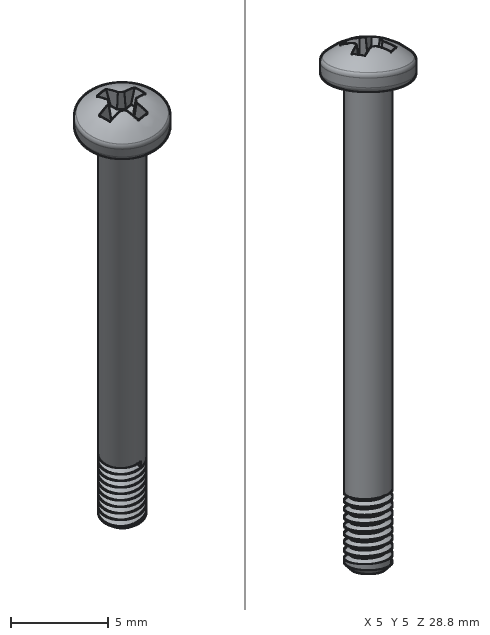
import cadquery as cq
import math


LENGTH = 28.83
SHANK_RADIUS = 2.5 / 2

HEAD_RADIUS = 5.0 / 2
HEAD_HEIGHT = 1.95
HEAD_BOTTOM = LENGTH - HEAD_HEIGHT
UNDERSIDE_FILLET = 0.35
SHOULDER_HEIGHT = 0.25
SHOULDER_INSET = 0.12
DOME_HEIGHT = 0.9
APEX_HEIGHT = 0.072
DOME_BASE = LENGTH + APEX_HEIGHT - DOME_HEIGHT

RECESS_DEPTH = 1.15
MOUTH_REACH = 1.55
FLOOR_REACH = 1.0
MOUTH_ARM_WIDTH = 0.8
FLOOR_ARM_WIDTH = 0.52
MOUTH_CORNER_CHAMFER = 0.23
FLOOR_CORNER_CHAMFER = 0.32

TURNS = 8.5
THREAD_START = 0.52
THREAD_RISE = 3.83
PITCH = THREAD_RISE / TURNS
ROOT_RADIUS = 0.92
CREST_FLAT = PITCH / 10
ROOT_FLAT = PITCH / 8
GROOVE_OVERCUT = 0.03
TIP_CHAMFER = 0.35


def make_head():
    rim_top = DOME_BASE - SHOULDER_HEIGHT
    dome_radius = HEAD_RADIUS - SHOULDER_INSET
    sphere_radius = (dome_radius**2 + DOME_HEIGHT**2) / (2 * DOME_HEIGHT)
    apex = DOME_BASE + DOME_HEIGHT
    mid_radius = dome_radius / 2
    mid_height = apex - sphere_radius + math.sqrt(sphere_radius**2 - mid_radius**2)
    fillet_height = HEAD_BOTTOM + UNDERSIDE_FILLET
    profile = (
        cq.Workplane("XZ")
        .moveTo(0, HEAD_BOTTOM)
        .lineTo(HEAD_RADIUS - UNDERSIDE_FILLET, HEAD_BOTTOM)
        .tangentArcPoint((HEAD_RADIUS, fillet_height), relative=False)
        .lineTo(HEAD_RADIUS, rim_top)
        .tangentArcPoint((dome_radius, DOME_BASE), relative=False)
        .threePointArc((mid_radius, mid_height), (0, apex))
        .close()
    )
    return profile.revolve(360, (0, 0), (0, 1))


def make_shank():
    shank = cq.Workplane("XY").circle(SHANK_RADIUS).extrude(HEAD_BOTTOM)
    return shank.faces("<Z").chamfer(TIP_CHAMFER)


def cross_outline(reach, arm_width, corner_chamfer):
    """Corner points of a cross with chamfered inner corners."""
    half = arm_width / 2
    arm = [
        (half + corner_chamfer, -half),
        (reach, -half),
        (reach, half),
        (half + corner_chamfer, half),
    ]
    points = []
    for quarter in range(4):
        for x, y in arm:
            for _ in range(quarter):
                x, y = -y, x
            points.append((x, y))
    return points


def make_recess():
    mouth_height = LENGTH + APEX_HEIGHT
    return (
        cq.Workplane("XY")
        .workplane(offset=mouth_height - RECESS_DEPTH)
        .polyline(cross_outline(FLOOR_REACH, FLOOR_ARM_WIDTH, FLOOR_CORNER_CHAMFER))
        .close()
        .workplane(offset=RECESS_DEPTH)
        .polyline(cross_outline(MOUTH_REACH, MOUTH_ARM_WIDTH, MOUTH_CORNER_CHAMFER))
        .close()
        .loft(ruled=True)
    )


def make_thread_groove():
    """Right-handed V groove that starts on the -X side and ends on the +X side."""
    outer_radius = SHANK_RADIUS + GROOVE_OVERCUT
    half_root = ROOT_FLAT / 2
    half_mouth = (PITCH - CREST_FLAT) / 2
    flank_slope = (half_mouth - half_root) / (SHANK_RADIUS - ROOT_RADIUS)
    half_outer = half_mouth + flank_slope * GROOVE_OVERCUT
    helix = cq.Workplane(obj=cq.Wire.makeHelix(PITCH, THREAD_RISE, ROOT_RADIUS))
    groove = (
        cq.Workplane("XZ")
        .polyline([
            (ROOT_RADIUS, -half_root),
            (outer_radius, -half_outer),
            (outer_radius, half_outer),
            (ROOT_RADIUS, half_root),
        ])
        .close()
        .sweep(helix, isFrenet=True)
    )
    return groove.rotate((0, 0, 0), (0, 0, 1), 180).translate((0, 0, THREAD_START))


threaded_shank = make_shank().cut(make_thread_groove())
result = threaded_shank.union(make_head()).cut(make_recess())